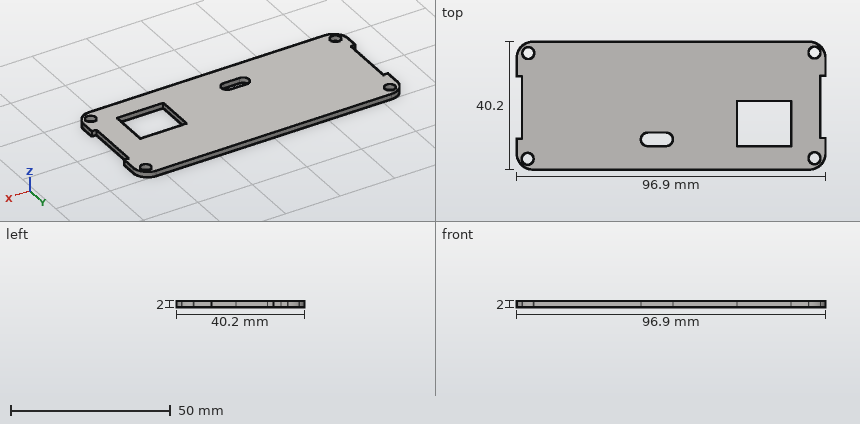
import cadquery as cq

length = 96.9
width = 40.2
thickness = 2.0
corner_radius = 5.2

hole_diameter = 3.7
hole_centers = [
    (-44.8, 16.5),
    (-45.0, -16.7),
    (45.0, 16.7),
    (45.0, -16.5),
]

notch_depth = 1.6
notch_width = 19.5
left_notch_y = -0.6
right_notch_y = -0.4

window_length = 17.0
window_width = 14.05
window_x = 29.2
window_y = -5.6

slot_length = 10.0
slot_width = 4.2
slot_x = -4.5
slot_y = -10.6


def make_plate():
    plate = cq.Workplane("XY").rect(length, width).extrude(thickness)
    return plate.edges("|Z").fillet(corner_radius)


def make_screw_holes():
    return cq.Workplane("XY").pushPoints(hole_centers).circle(hole_diameter / 2).extrude(thickness)


def make_end_notches():
    centers = [(-length / 2, left_notch_y), (length / 2, right_notch_y)]
    return cq.Workplane("XY").pushPoints(centers).rect(2 * notch_depth, notch_width).extrude(thickness)


def make_window():
    return (
        cq.Workplane("XY")
        .center(window_x, window_y)
        .rect(window_length, window_width)
        .extrude(thickness)
    )


def make_slot():
    return cq.Workplane("XY").center(slot_x, slot_y).slot2D(slot_length, slot_width).extrude(thickness)


result = (
    make_plate()
    .cut(make_screw_holes())
    .cut(make_end_notches())
    .cut(make_window())
    .cut(make_slot())
)